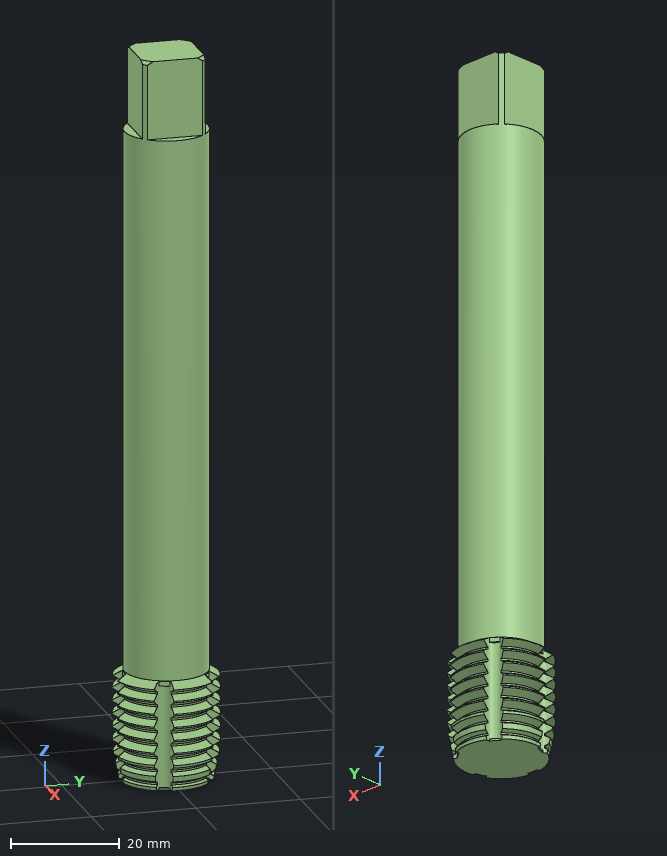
import cadquery as cq
import math

total_length = 140.0

shank_radius = 8.0
square_side = 12.0
square_length = 15.0
end_chamfer = 0.63
square_clearance = 2.8

head_length = 21.0
major_diameter = 20.0
major_radius = major_diameter / 2
root_radius = 8.4
crest_flat = 0.3
ridge_overlap = 1.4
flank_angle = 30.0
ridge_count = 9
top_crest_height = 20.0
pitch = top_crest_height / (ridge_count - 1)
lead_length = 6.0
lead_end_radius = 8.8

flute_count = 5
first_flute_angle = -90.0
flute_floor_radius = 7.7
flute_round = 1.5
flute_flank_angle = 18.0
collar_radius = 8.1
upper_collar_length = 1.0
lower_collar_length = 0.4
flute_clearance = 1.4
flute_reach = major_radius + flute_clearance

flank_slope = math.tan(math.radians(flank_angle))
thread_rise = (major_radius - root_radius) * flank_slope


def make_shank():
    """Round bar with a square end whose corners keep the bar's round surface."""
    bar_length = total_length - head_length
    bar = (
        cq.Workplane("XY")
        .workplane(offset=head_length)
        .circle(shank_radius)
        .extrude(bar_length)
        .faces(">Z")
        .chamfer(end_chamfer)
    )
    square_base = cq.Workplane("XY").workplane(offset=total_length - square_length)
    around_square = square_base.circle(shank_radius + square_clearance).rect(square_side, square_side)
    around_square = around_square.extrude(square_length)
    return bar.cut(around_square)


def make_ridge(crest_height):
    """Ring-shaped thread ridge with its crest centred at the given height."""
    half_crest = crest_flat / 2
    half_base = half_crest + thread_rise
    inner_radius = root_radius - ridge_overlap
    return (
        cq.Workplane("XZ")
        .moveTo(inner_radius, crest_height - half_base)
        .lineTo(root_radius, crest_height - half_base)
        .lineTo(major_radius, crest_height - half_crest)
        .lineTo(major_radius, crest_height + half_crest)
        .lineTo(root_radius, crest_height + half_base)
        .lineTo(inner_radius, crest_height + half_base)
        .close()
        .revolve(360, (0, 0), (0, 1))
    )


def make_envelope():
    """Outer limit of the head: tapered lead, full thread and sloped shoulder up to the shank."""
    shoulder_rise = (major_radius - shank_radius) * flank_slope
    return (
        cq.Workplane("XZ")
        .lineTo(lead_end_radius, 0)
        .lineTo(major_radius, lead_length)
        .lineTo(major_radius, head_length - shoulder_rise)
        .lineTo(shank_radius, head_length)
        .lineTo(0, head_length)
        .close()
        .revolve(360, (0, 0), (0, 1))
    )


def make_flute(angle):
    """Cutter for one straight flute: a V groove with a rounded floor, between two end collars."""
    flank = math.radians(flute_flank_angle)
    round_centre = flute_floor_radius + flute_round
    tangent_x = round_centre - flute_round * math.sin(flank)
    tangent_y = flute_round * math.cos(flank)
    mouth_y = tangent_y + (flute_reach - tangent_x) * math.tan(flank)
    groove = (
        cq.Workplane("XY")
        .moveTo(flute_reach, -mouth_y)
        .lineTo(tangent_x, -tangent_y)
        .threePointArc((flute_floor_radius, 0), (tangent_x, tangent_y))
        .lineTo(flute_reach, mouth_y)
        .close()
        .extrude(head_length)
    )
    lower_collar = cq.Workplane("XY").circle(collar_radius).extrude(lower_collar_length)
    upper_collar = (
        cq.Workplane("XY")
        .workplane(offset=head_length - upper_collar_length)
        .circle(collar_radius)
        .extrude(upper_collar_length)
    )
    cutter = groove.cut(lower_collar).cut(upper_collar)
    return cutter.rotate((0, 0, 0), (0, 0, 1), angle)


def make_head():
    """Ridged core trimmed to the head's outer limit and divided by the flutes."""
    head = cq.Workplane("XY").circle(root_radius).extrude(head_length)
    for i in range(ridge_count):
        head = head.union(make_ridge(top_crest_height - i * pitch))
    head = head.intersect(make_envelope())
    for i in range(flute_count):
        head = head.cut(make_flute(first_flute_angle + i * 360 / flute_count))
    return head


shank = make_shank()
head = make_head()
result = cq.Compound.makeCompound([shank.val(), head.val()])